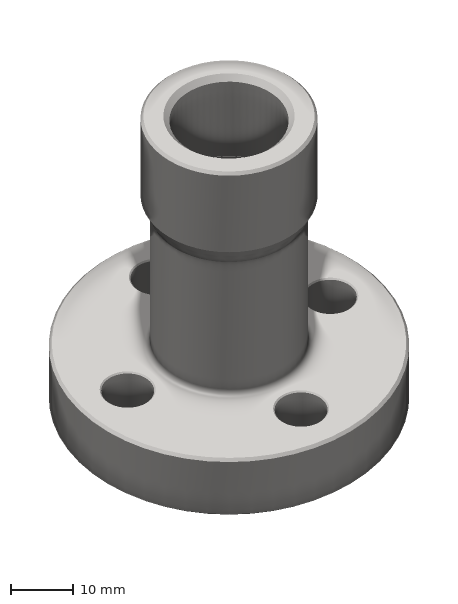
import cadquery as cq

total_height = 60.0
flange_diameter = 58.0
flange_height = 12.0
tube_diameter = 25.5
collar_diameter = 28.5
collar_start = 43.3
taper_start = 39.95
bore_diameter = 19.0
socket_diameter = 19.2
socket_floor = collar_start
mouth_diameter = 21.1
mouth_depth = 0.95
bolt_hole_diameter = 8.5
bolt_hole_count = 4
bolt_circle_diameter = 40.0
edge_chamfer = 0.5
hole_chamfer = 0.25
root_fillet = 1.0

tube_radius = tube_diameter / 2
collar_radius = collar_diameter / 2
flange_radius = flange_diameter / 2


def make_flange():
    """Round flange with chamfered rims and a ring of bolt holes chamfered at both ends."""
    flange = cq.Workplane("XY").circle(flange_radius).extrude(flange_height)
    flange = flange.faces("<Z or >Z").edges().chamfer(edge_chamfer)
    holes = (
        cq.Workplane("XY")
        .polarArray(bolt_circle_diameter / 2, 0, 360, bolt_hole_count)
        .circle(bolt_hole_diameter / 2)
        .extrude(flange_height)
    )
    flange = flange.cut(holes)
    return flange.faces("<Z or >Z").edges(cq.selectors.RadiusNthSelector(0)).chamfer(hole_chamfer)


def make_neck():
    """Tube with a filleted root, tapering out to a wider collar at the top."""
    return (
        cq.Workplane("XZ")
        .moveTo(0, 0)
        .lineTo(tube_radius, 0)
        .lineTo(tube_radius, flange_height)
        .lineTo(tube_radius + root_fillet, flange_height)
        .radiusArc((tube_radius, flange_height + root_fillet), root_fillet)
        .lineTo(tube_radius, taper_start)
        .lineTo(collar_radius, collar_start)
        .lineTo(collar_radius, total_height - edge_chamfer)
        .lineTo(collar_radius - edge_chamfer, total_height)
        .lineTo(0, total_height)
        .close()
        .revolve(360, (0, 0, 0), (0, 1, 0))
    )


def make_bore():
    """Through bore, slightly wider inside the collar, with a conical mouth at the top."""
    bore_radius = bore_diameter / 2
    socket_radius = socket_diameter / 2
    return (
        cq.Workplane("XZ")
        .moveTo(0, 0)
        .lineTo(bore_radius, 0)
        .lineTo(bore_radius, socket_floor)
        .lineTo(socket_radius, socket_floor)
        .lineTo(socket_radius, total_height - mouth_depth)
        .lineTo(mouth_diameter / 2, total_height)
        .lineTo(0, total_height)
        .close()
        .revolve(360, (0, 0, 0), (0, 1, 0))
    )


result = make_flange().union(make_neck()).cut(make_bore())